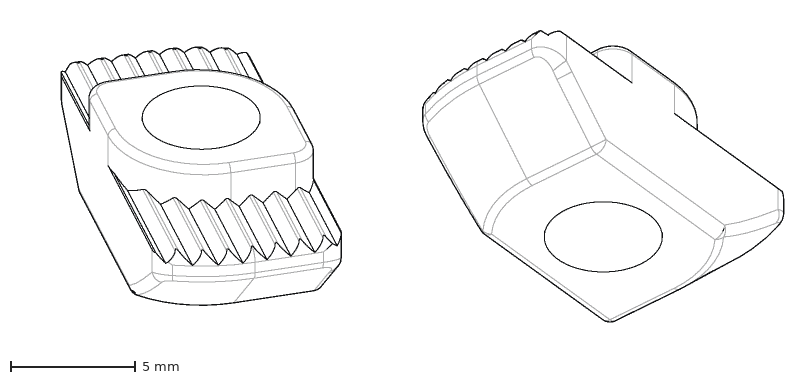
import cadquery as cq
import math

length = 16.0
width = 7.7
height = 6.0

body_height = 4.5
rim_height = 3.3
corner_radius = 1.0
edge_radius = 0.5

tooth_pitch = 1.0 + 0.008
groove_count = 8
crest_radius = 0.1
lip_ridge_y = 3.8

collar_arc_radius = 4.0
collar_edge_radius = 0.3
bore_diameter = 4.75

half_length = length / 2
half_width = width / 2


def sweep_ends(half_profile):
    """Sweep an XZ half profile: two opposite quadrants straight along Y, the other two turned about Z."""
    straight = half_profile().extrude(-half_width)
    turned = half_profile().revolve(90, (0, 0, 0), (0, -1, 0))
    one_end = straight.union(turned)
    return one_end.union(one_end.rotate((0, 0, 0), (0, 0, 1), 180))


def sloped_profile():
    """Half profile with the sloping underside and a square top edge."""
    return (
        cq.Workplane("XZ")
        .lineTo(half_length - rim_height, 0)
        .lineTo(half_length, rim_height)
        .lineTo(half_length, body_height)
        .lineTo(0, body_height)
        .close()
    )


def round_top_profile():
    """Half profile with an upright end and a rounded top edge."""
    return (
        cq.Workplane("XZ")
        .lineTo(half_length, 0)
        .lineTo(half_length, body_height - edge_radius)
        .radiusArc((half_length - edge_radius, body_height), -edge_radius)
        .lineTo(0, body_height)
        .close()
    )


def make_body():
    """Body with sloping undersides, rounded corners and rounded ends, before serration."""
    slab = cq.Workplane("XY").box(length, width, body_height, centered=(True, True, False))
    body = sweep_ends(sloped_profile).intersect(slab)
    body = body.edges("|Z").edges("<Y or >Y").fillet(corner_radius)

    margin = 0.16
    below_rim = cq.selectors.BoxSelector(
        (-length, -width, -margin), (length, width, rim_height + margin), boundingbox=True
    )
    seams = cq.selectors.BoxSelector(
        (-length, -margin, -margin), (length, margin, rim_height + margin), boundingbox=True
    )
    body = body.edges(below_rim - seams).fillet(edge_radius)

    return body.intersect(sweep_ends(round_top_profile))


def make_serrated_bar():
    """Bar along X whose top carries the serrations, with a crest on the centre line."""
    flank_angle = math.radians(45)
    crest_half_width = crest_radius * math.sin(flank_angle)
    flank_top = body_height - crest_radius * (1 - math.cos(flank_angle))
    root_height = flank_top - (tooth_pitch / 2 - crest_half_width)
    outer_root_y = (groove_count - 1) / 2 * tooth_pitch

    lip_height = root_height + lip_ridge_y - outer_root_y
    wall_height = lip_height - (half_width - lip_ridge_y)

    outline = (
        cq.Workplane("YZ")
        .moveTo(-half_width, 0)
        .lineTo(-half_width, wall_height)
        .lineTo(-lip_ridge_y, lip_height)
        .lineTo(-outer_root_y, root_height)
    )
    for index in range(1, groove_count):
        root_y = index * tooth_pitch - outer_root_y
        crest_y = root_y - tooth_pitch / 2
        outline = (
            outline.lineTo(crest_y - crest_half_width, flank_top)
            .threePointArc((crest_y, body_height), (crest_y + crest_half_width, flank_top))
            .lineTo(root_y, root_height)
        )
    outline = (
        outline.lineTo(lip_ridge_y, lip_height)
        .lineTo(half_width, wall_height)
        .lineTo(half_width, 0)
        .close()
    )
    return outline.extrude(half_length, both=True)


def make_collar():
    """Square collar with two opposite corners on large arcs and the other two slightly rounded."""
    arc_offset = collar_arc_radius - half_width
    outline = (
        cq.Workplane("XY")
        .moveTo(-half_width, -half_width)
        .lineTo(-arc_offset, -half_width)
        .radiusArc((half_width, arc_offset), -collar_arc_radius)
        .lineTo(half_width, half_width)
        .lineTo(arc_offset, half_width)
        .radiusArc((-half_width, -arc_offset), -collar_arc_radius)
        .close()
    )
    collar_base = body_height / 2
    collar = outline.extrude(height - collar_base).translate((0, 0, collar_base))
    collar = collar.edges("|Z").edges("<(1, 1, 0) or >(1, 1, 0)").fillet(corner_radius)
    return collar.faces(">Z").edges().fillet(collar_edge_radius)


nut = make_body().intersect(make_serrated_bar()).union(make_collar())
bore = cq.Workplane("XY").circle(bore_diameter / 2).extrude(height)
result = nut.cut(bore)